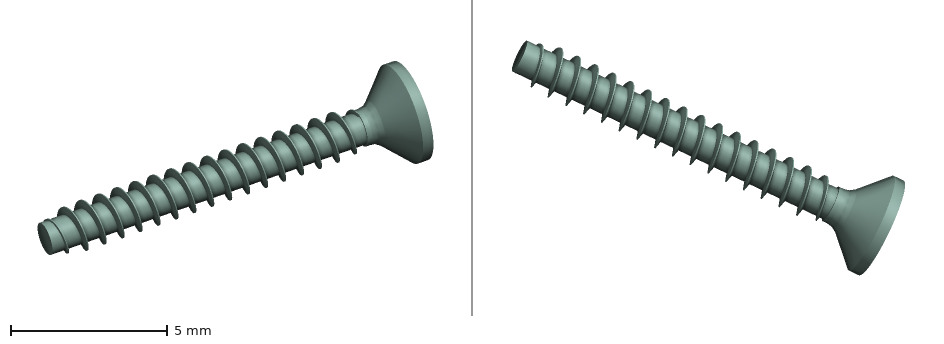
import cadquery as cq
import math

length = 13.0
head_radius = 1.68
rim_thickness = 0.36

neck_radius = 0.61
neck_end = 1.82
core_radius = 0.55
core_seam_angle = 77.0
head_fillet = 0.55

crest_radius = 0.8
crest_width = 0.04
flank_angle = 16.0
root_radius = 0.5
thread_start = 1.82
thread_end = 12.92
thread_turns = 17.4
start_crest_radius = 0.65
end_crest_radius = 0.53
start_fade_turns = 1.2
end_fade_turns = 1.4
points_per_turn = 20


def make_head():
    """Countersunk head and neck turned around the Y axis, ending in a flat shoulder."""
    cone_end = rim_thickness + head_radius - neck_radius
    profile = (
        cq.Workplane("XY")
        .lineTo(head_radius, 0)
        .lineTo(head_radius, -rim_thickness)
        .lineTo(neck_radius, -cone_end)
        .lineTo(neck_radius, -neck_end)
        .lineTo(0, -neck_end)
        .close()
    )
    head = profile.revolve(360, (0, 0, 0), (0, 1, 0))
    cone_foot = cq.selectors.NearestToPointSelector((0, -cone_end, 0))
    return head.edges("%CIRCLE").edges(cone_foot).fillet(head_fillet)


def make_core():
    """Plain core down to the tip, turned so that its seam line lies clear of the thread ends."""
    core = cq.Workplane("XZ").circle(core_radius).extrude(length)
    return core.rotate((0, 0, 0), (0, 1, 0), core_seam_angle)


def crest_radius_at(turn):
    """Crest radius along the thread: it rises at the head end and sinks into the core at the tip."""
    rise = min(1, turn / start_fade_turns)
    fall = min(1, (thread_turns - turn) / end_fade_turns)
    start_radius = start_crest_radius + (crest_radius - start_crest_radius) * rise
    end_radius = end_crest_radius + (crest_radius - end_crest_radius) * fall
    return min(start_radius, end_radius)


def thread_curve(at_crest, side):
    """One long edge of the thread; side is +1 toward the head and -1 toward the tip."""
    points = []
    turns = [i / points_per_turn for i in range(round(thread_turns * points_per_turn) + 1)]
    for turn in turns:
        angle = 2 * math.pi * turn
        crest = crest_radius_at(turn)
        radius = crest if at_crest else root_radius
        half_width = crest_width / 2 + (crest - radius) * math.tan(math.radians(flank_angle))
        depth = thread_start + (thread_end - thread_start) * turn / thread_turns
        x = -radius * math.sin(angle)
        y = side * half_width - depth
        z = radius * math.cos(angle)
        points.append(cq.Vector(x, y, z))
    return cq.Edge.makeSpline(points, parameters=turns)


def make_thread():
    """Right-handed ridge with a flat crest, starting on the +Z side."""
    edges = [
        thread_curve(False, 1),
        thread_curve(True, 1),
        thread_curve(True, -1),
        thread_curve(False, -1),
    ]
    faces = [cq.Face.makeRuledSurface(edges[i - 1], edges[i]) for i in range(len(edges))]
    for place in (0, 1):
        corners = [edge.positionAt(place) for edge in edges]
        faces.append(cq.Face.makeFromWires(cq.Wire.makePolygon(corners, close=True)))
    thread = cq.Solid.makeSolid(cq.Shell.makeShell(faces))
    return thread.fix()


def make_shank():
    """Threaded core, cut off flat where it meets the shoulder of the neck."""
    shank = make_core().union(cq.Workplane(obj=make_thread()))
    above_shoulder = cq.Workplane("XZ").circle(head_radius).extrude(neck_end)
    return shank.cut(above_shoulder)


result = make_head().union(make_shank())